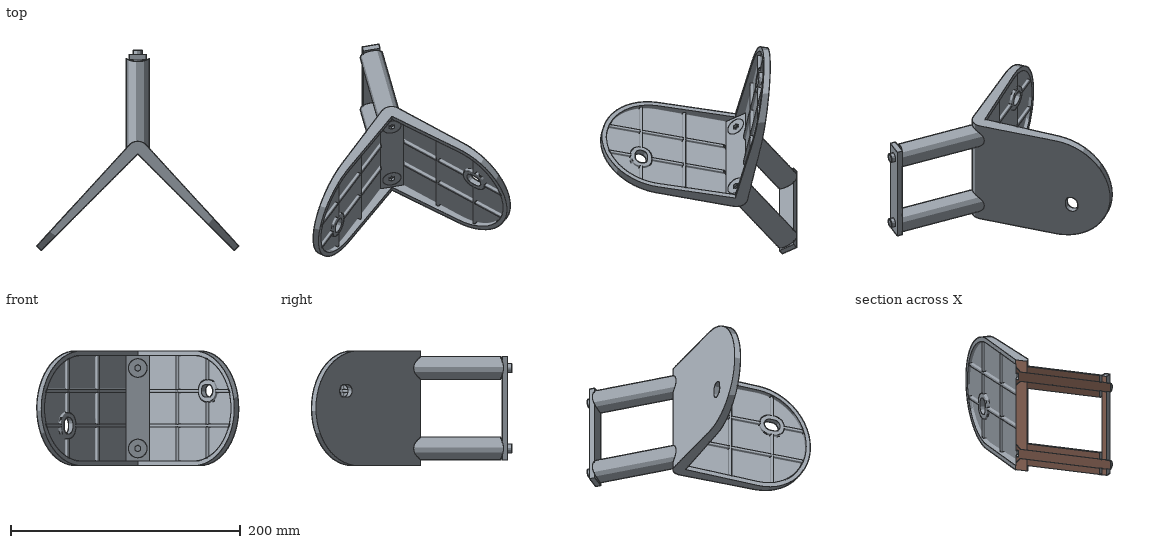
import cadquery as cq
import math

half_span = 88.0
height = 100.0
tip_thickness = 5.6
outer_peak = 16.0
peak_radius = 10.0
diagonal = math.sqrt(0.5)
leg_length = half_span / diagonal - tip_thickness
inner_tip = leg_length * diagonal

rim_width = 4.0
wall = 3.0
web_half_width = 10.2

rib_width = 2.6
rib_height = 2.3
rib_reaches = (37.7, 76.5)
rib_level = 15.1
edge_radius = 0.5
slot_length = 14.6
slot_width = 11.0
boss_margin = 4.2

spacing = 70.0
tube_radius = 10.0
post_radius = 20.0
strap_width = 15.0
strap_thickness = 5.0
screw_diameter = 8.0
overall_depth = 174.8
screw_tip_y = overall_depth - inner_tip
screw_projection = 3.9
screw_chamfer = 0.5
head_diameter = 16.2
socket_flats = 5.0
socket_depth = 2.5

outer_tip_y = (tip_thickness - leg_length) * diagonal
outer_run = math.hypot(half_span, outer_peak - outer_tip_y)
along_x = half_span / outer_run
along_y = (outer_tip_y - outer_peak) / outer_run
web_y = outer_peak + (web_half_width * along_y - wall) / along_x
floor_run = leg_length + height

strap_back_y = screw_tip_y - screw_projection
strap_front_y = strap_back_y - strap_thickness
post_center_y = strap_front_y + math.sqrt(post_radius**2 - (strap_width / 2) ** 2)
screw_levels = (-spacing / 2, spacing / 2)

inner_plane = cq.Plane((0, 0, 0), xDir=(1, -1, 0), normal=(-1, -1, 0))
floor_plane = cq.Plane(
    (web_half_width, web_y, 0), xDir=(along_x, along_y, 0), normal=(along_y, -along_x, 0)
)


def rod(diameter, start_y, end_y, level):
    """Cylinder along +Y at the given Z."""
    plane = cq.Plane((0, start_y, level), xDir=(0, 0, 1), normal=(0, 1, 0))
    return cq.Workplane(plane).circle(diameter / 2).extrude(end_y - start_y)


def leg_outline(inset):
    """Prism square to the inner face of the +X plate, with a half-round end."""
    radius = height / 2 - inset
    round_center = leg_length - height / 2
    return (
        cq.Workplane(inner_plane)
        .moveTo(-height, -radius)
        .lineTo(round_center, -radius)
        .threePointArc((round_center + radius, 0), (round_center, radius))
        .lineTo(-height, radius)
        .close()
        .extrude(height / 2, both=True)
    )


def with_foot(feature):
    """Put a feature standing on XY onto a slab of floor, and round its top edges and the joint."""
    slab = cq.Workplane("XY").rect(2 * floor_run, height).extrude(-wall / 2)
    inside_slab = cq.selectors.BoxSelector(
        (-0.9 * floor_run, -0.45 * height, -wall / 4),
        (0.9 * floor_run, 0.45 * height, 2 * rib_height),
    )
    return slab.union(feature).edges(inside_slab).fillet(edge_radius)


def ribs(slot_level, slot_angle):
    """Rib grid and slot boss of the +X plate, on a slab of floor."""
    boss = (
        cq.Workplane("XY", origin=(rib_reaches[1], slot_level, 0))
        .slot2D(slot_length + 2 * boss_margin, slot_width + 2 * boss_margin, slot_angle)
        .extrude(rib_height)
    )
    raised = with_foot(boss)
    for level in (-rib_level, rib_level):
        lengthwise = cq.Workplane("XY", origin=(0, level, 0)).rect(2 * floor_run, rib_width)
        raised = raised.union(with_foot(lengthwise.extrude(rib_height)))
    for reach in rib_reaches:
        crosswise = cq.Workplane("XY", origin=(reach, 0, 0)).rect(rib_width, height)
        raised = raised.union(with_foot(crosswise.extrude(rib_height)))
    return cq.Workplane(raised.val().moved(cq.Location(floor_plane)))


def pocket(slot_level, slot_angle):
    """Space hollowed out of the +X plate, leaving the ribs and boss."""
    far_x = web_half_width + floor_run * along_x
    far_y = web_y + floor_run * along_y
    space = (
        cq.Workplane("XY")
        .polyline([(0, web_y), (web_half_width, web_y), (far_x, far_y), (0, far_y)])
        .close()
        .extrude(height / 2, both=True)
        .intersect(leg_outline(rim_width))
    )
    floor = space.faces(cq.selectors.DirectionMinMaxSelector(-floor_plane.zDir))
    wall_feet = floor.edges("not <X")
    web_zone = cq.Workplane("XY").rect(2 * web_half_width, 4 * height).extrude(height, both=True)
    return wall_feet.fillet(edge_radius).cut(ribs(slot_level, slot_angle).cut(web_zone))


def slot(slot_level, slot_angle):
    """Through slot in the +X plate."""
    return (
        cq.Workplane(floor_plane)
        .center(rib_reaches[1], slot_level)
        .slot2D(slot_length, slot_width, slot_angle)
        .extrude(height / 4, both=True)
    )


def bracket_envelope():
    """Everything between the outer faces, with their meeting edge rounded."""
    return (
        cq.Workplane("XY")
        .polyline([
            (-inner_tip, -inner_tip), (inner_tip, -inner_tip), (half_span, outer_tip_y),
            (0, outer_peak), (-half_span, outer_tip_y),
        ])
        .close()
        .extrude(height / 2, both=True)
        .edges("|Z and >Y")
        .fillet(peak_radius)
    )


def make_bracket():
    opening = (
        cq.Workplane("XY")
        .polyline([(0, 0), (inner_tip, -inner_tip), (-inner_tip, -inner_tip)])
        .close()
        .extrude(height / 2, both=True)
    )
    body = bracket_envelope().cut(opening)
    outline = leg_outline(0)
    body = body.intersect(outline.union(outline.mirror("YZ")))
    body = body.cut(pocket(rib_level, 0)).cut(slot(rib_level, 0))
    body = body.cut(pocket(-rib_level, 90).mirror("YZ")).cut(slot(-rib_level, 90).mirror("YZ"))
    for level in screw_levels:
        body = body.cut(screw_blank(level))
    return body


def screw_blank(level):
    """Countersunk screw without its socket, its head flush with the web."""
    head_radius = head_diameter / 2
    shank_radius = screw_diameter / 2
    cone_end = web_y + head_radius - shank_radius
    return (
        cq.Workplane("XY", origin=(0, 0, level))
        .polyline([
            (0, web_y), (head_radius, web_y), (shank_radius, cone_end),
            (shank_radius, screw_tip_y - screw_chamfer), (shank_radius - screw_chamfer, screw_tip_y),
            (0, screw_tip_y),
        ])
        .close()
        .revolve(360, (0, 0, 0), (0, 1, 0))
    )


def make_screw(level):
    socket_plane = cq.Plane((0, web_y, level), xDir=(0, 0, 1), normal=(0, 1, 0))
    across_corners = socket_flats / math.cos(math.pi / 6)
    socket = cq.Workplane(socket_plane).polygon(6, across_corners).extrude(socket_depth)
    return screw_blank(level).cut(socket)


def make_tube(level):
    """Spacer seated on the rounded corner of the bracket, with its far end hollowed to fit a post."""
    blank = rod(2 * tube_radius, 0, post_center_y, level)
    post = cq.Workplane("XY").center(0, post_center_y).circle(post_radius).extrude(height, both=True)
    return blank.cut(post).cut(bracket_envelope()).cut(screw_blank(level))


def make_strap():
    strap_length = spacing + 2 * tube_radius
    center_y = (strap_front_y + strap_back_y) / 2
    strap = cq.Workplane("XY").box(strap_width, strap_thickness, strap_length).translate((0, center_y, 0))
    for level in screw_levels:
        strap = strap.cut(screw_blank(level))
    return strap


bracket = make_bracket()
tubes = [make_tube(level) for level in screw_levels]
strap = make_strap()
screws = [make_screw(level) for level in screw_levels]

bodies = [bracket, *tubes, strap, *screws]
result = cq.Compound.makeCompound([body.solids().val() for body in bodies])